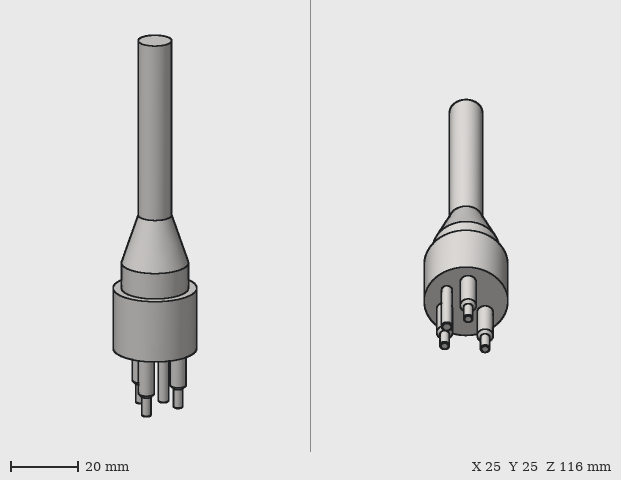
import cadquery as cq
import math

pin_length = 19.0
base_height = 19.0
collar_height = 8.0
cone_height = 15.0
total_height = 116.0

base_bottom = pin_length
collar_bottom = base_bottom + base_height
cone_bottom = collar_bottom + collar_height
cable_bottom = cone_bottom + cone_height

base_diameter = 25.0
collar_diameter = 20.0
cable_diameter = 10.0

pin_circle_radius = 7.0
contact_angles = (30.0, 150.0, 270.0)
contact_diameter = 4.8
tip_diameter = 2.8
tip_length = 6.0
shoulder_height = (contact_diameter - tip_diameter) / 2
key_pin_angle = 90.0
key_pin_diameter = 3.2
tip_chamfer = 0.3


def make_body():
    """Stepped base and collar, with a cone leading into the cable."""
    base_radius = base_diameter / 2
    collar_radius = collar_diameter / 2
    cable_radius = cable_diameter / 2
    half_profile = (
        cq.Workplane("XZ")
        .moveTo(0, base_bottom)
        .lineTo(base_radius, base_bottom)
        .lineTo(base_radius, collar_bottom)
        .lineTo(collar_radius, collar_bottom)
        .lineTo(collar_radius, cone_bottom)
        .lineTo(cable_radius, cable_bottom)
        .lineTo(cable_radius, total_height)
        .lineTo(0, total_height)
        .close()
    )
    return half_profile.revolve(360, (0, 0), (0, 1))


def make_rod(diameter):
    """Rod on the Z axis from the tip height up to the base, chamfered at its lower end."""
    rod = cq.Workplane("XY").circle(diameter / 2).extrude(pin_length)
    return rod.faces("<Z").chamfer(tip_chamfer)


def make_contact_pin():
    """Thin tip under a thick shank whose lower end is chamfered down to the tip diameter."""
    tip_radius = tip_diameter / 2
    shank_radius = contact_diameter / 2
    half_profile = (
        cq.Workplane("XZ")
        .moveTo(0, tip_length)
        .lineTo(tip_radius, tip_length)
        .lineTo(shank_radius, tip_length + shoulder_height)
        .lineTo(shank_radius, pin_length)
        .lineTo(0, pin_length)
        .close()
    )
    shank = half_profile.revolve(360, (0, 0), (0, 1))
    return shank.union(make_rod(tip_diameter))


def place_on_pin_circle(pin, angle):
    """Move a pin from the axis to its place on the pitch circle."""
    x = pin_circle_radius * math.cos(math.radians(angle))
    y = pin_circle_radius * math.sin(math.radians(angle))
    return pin.translate((x, y, 0))


result = make_body()

for contact_angle in contact_angles:
    result = result.union(place_on_pin_circle(make_contact_pin(), contact_angle))

key_pin = make_rod(key_pin_diameter)
result = result.union(place_on_pin_circle(key_pin, key_pin_angle))